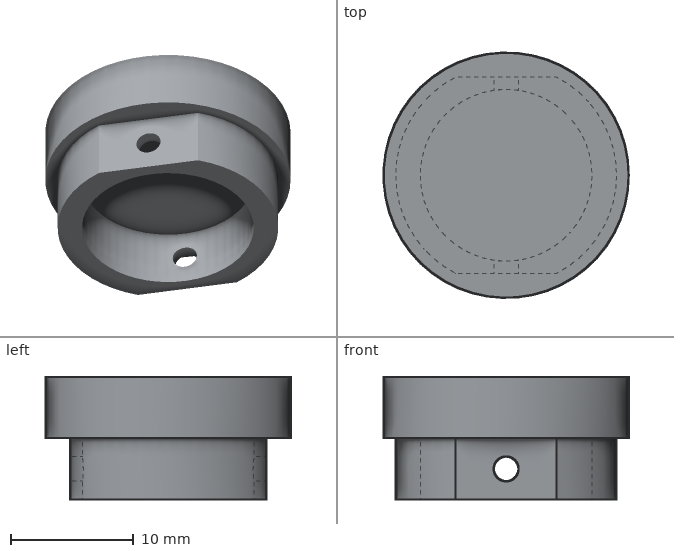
import cadquery as cq

cap_diameter = 20
cap_height = 5

stem_diameter = 18
stem_height = 5
across_flats = 16
bore_diameter = 14

pin_hole_diameter = 2
pin_hole_z = stem_height / 2


def make_cap():
    return cq.Workplane("XY").workplane(offset=stem_height).circle(cap_diameter / 2).extrude(cap_height)


def make_stem():
    """Ring open at the bottom, flattened on its -Y and +Y sides."""
    round_stem = cq.Workplane("XY").circle(stem_diameter / 2).extrude(stem_height)
    flats = cq.Workplane("XY").rect(stem_diameter, across_flats).extrude(stem_height)
    bore = cq.Workplane("XY").circle(bore_diameter / 2).extrude(stem_height)
    return round_stem.intersect(flats).cut(bore)


def make_pin_hole():
    return (
        cq.Workplane("XZ")
        .center(0, pin_hole_z)
        .circle(pin_hole_diameter / 2)
        .extrude(across_flats / 2, both=True)
    )


result = make_cap().union(make_stem()).cut(make_pin_hole())